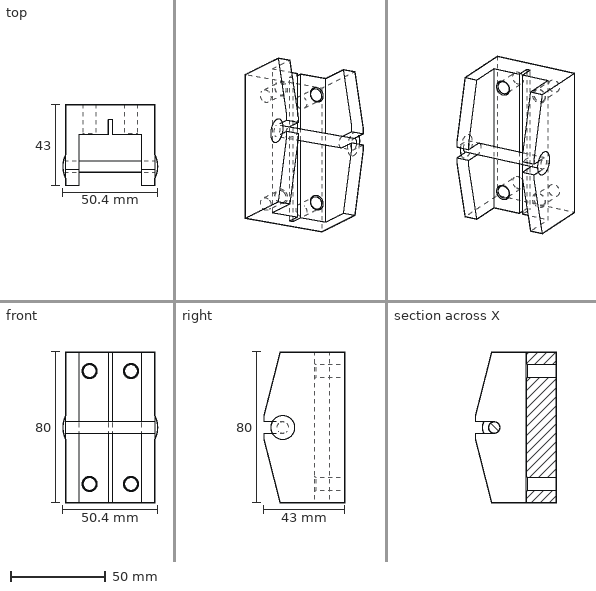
import cadquery as cq

height = 80.0
width = 47.4
depth = 43.0
channel_width = 33.0
base_thickness = 16.0

groove_width = 2.1
groove_depth = 8.0

bevel_depth = 8.6
flat_edge_height = 12.2

hole_spacing_x = 22.0
hole_spacing_z = 60.0
hole_diameter = 6.8
countersink_diameter = 8.0
countersink_angle = 90.0

shaft_diameter = 6.2
head_diameter = 12.7
head_height = 1.5
pin_setback = 10.1

floor_y = depth - base_thickness
shaft_radius = shaft_diameter / 2
head_radius = head_diameter / 2
half_width = width / 2


def make_side_outline():
    """Solid block with the front edge bevelled toward the top and bottom."""
    half_height = height / 2
    half_flat = flat_edge_height / 2
    outline = [
        (depth, -half_height),
        (depth, half_height),
        (bevel_depth, half_height),
        (0, half_flat),
        (0, -half_flat),
        (bevel_depth, -half_height),
    ]
    return cq.Workplane("YZ").polyline(outline).close().extrude(half_width, both=True)


def make_channel():
    """Space between the side walls, with the groove in its floor."""
    channel = cq.Workplane("XY").box(channel_width, floor_y, height, centered=(True, False, True))
    groove = cq.Workplane("XY").box(
        groove_width, floor_y + groove_depth, height, centered=(True, False, True)
    )
    return channel.union(groove)


def make_pin_slot():
    """Slot open at the front edge, with a round end that seats the shaft."""
    return (
        cq.Workplane("YZ")
        .moveTo(0, -shaft_radius)
        .lineTo(pin_setback, -shaft_radius)
        .threePointArc((pin_setback + shaft_radius, 0), (pin_setback, shaft_radius))
        .lineTo(0, shaft_radius)
        .close()
        .extrude(half_width, both=True)
    )


def make_housing():
    housing = make_side_outline().cut(make_channel()).cut(make_pin_slot())
    return (
        housing.copyWorkplane(cq.Workplane("XZ", origin=(0, floor_y, 0)))
        .rarray(hole_spacing_x, hole_spacing_z, 2, 2)
        .cskHole(hole_diameter, countersink_diameter, countersink_angle)
    )


def make_pin():
    """Half the pin's section, revolved about the pin axis."""
    dome_radius = (head_radius**2 + head_height**2) / (2 * head_height)
    dome_centre = half_width + head_height - dome_radius
    mid_radius = head_radius / 2
    mid_reach = dome_centre + (dome_radius**2 - mid_radius**2) ** 0.5
    tip = half_width + head_height
    return (
        cq.Workplane("XY", origin=(0, pin_setback, 0))
        .moveTo(-tip, 0)
        .threePointArc((-mid_reach, mid_radius), (-half_width, head_radius))
        .lineTo(-half_width, shaft_radius)
        .lineTo(half_width, shaft_radius)
        .lineTo(half_width, head_radius)
        .threePointArc((mid_reach, mid_radius), (tip, 0))
        .close()
        .revolve(360, (0, 0, 0), (1, 0, 0))
    )


housing = make_housing()
pin = make_pin()

result = cq.Compound.makeCompound([housing.val(), pin.val()])